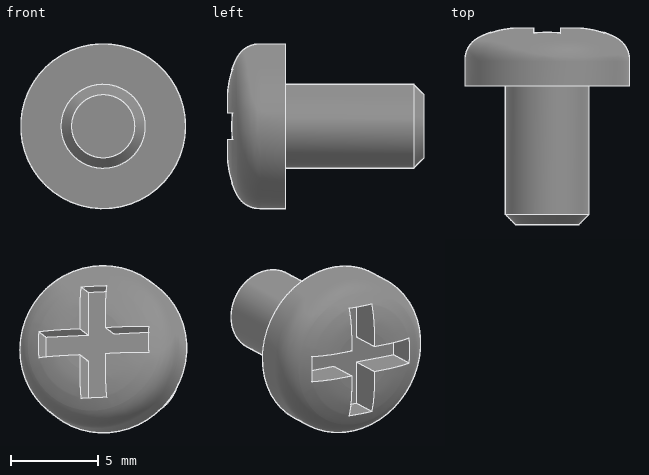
import cadquery as cq

total_length = 11.3
head_diameter = 9.47
head_height = 3.35
shank_diameter = 4.83
tip_chamfer = 0.6

rim_height = 1.41
dome_edge_radius = 3.97
dome_height = 0.56
crown_radius = 1.74

recess_span = 6.51
recess_width = 1.51
recess_depth = 2.0

head_radius = head_diameter / 2
shank_radius = shank_diameter / 2
shank_length = total_length - head_height


def make_body():
    """Revolve the half profile about Y; the underside of the head lies at Y = 0."""
    return (
        cq.Workplane("XY")
        .moveTo(0, head_height)
        .lineTo(crown_radius, head_height)
        .tangentArcPoint((dome_edge_radius, head_height - dome_height), relative=False)
        .tangentArcPoint((head_radius, rim_height), relative=False)
        .lineTo(head_radius, 0)
        .lineTo(shank_radius, 0)
        .lineTo(shank_radius, tip_chamfer - shank_length)
        .lineTo(shank_radius - tip_chamfer, -shank_length)
        .lineTo(0, -shank_length)
        .close()
        .revolve(360, (0, 0, 0), (0, 1, 0))
    )


def make_recess_arm(size_x, size_z):
    """Box for one bar of the cross, cut down from the crown."""
    center_y = head_height - recess_depth / 2
    return cq.Workplane("XY").box(size_x, recess_depth, size_z).translate((0, center_y, 0))


cross_recess = make_recess_arm(recess_span, recess_width).union(
    make_recess_arm(recess_width, recess_span)
)
result = make_body().cut(cross_recess)